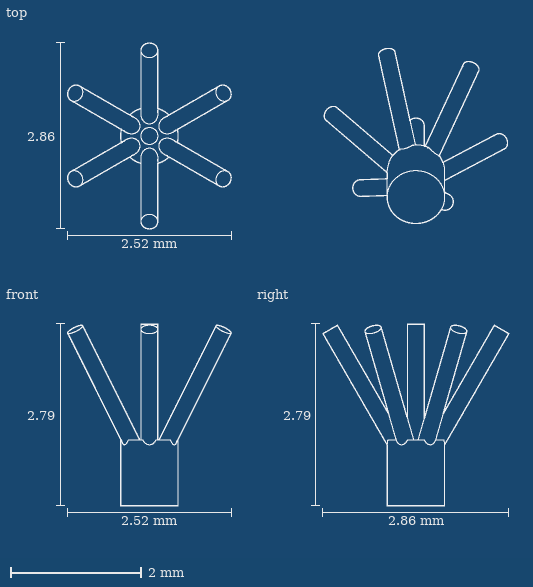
import cadquery as cq
import math

base_diameter = 0.887
base_height = 1.012
rod_diameter = 0.26
total_height = 2.79
overall_width = 2.86
tip_height = 2.71
tilt = 30.0
outer_rod_count = 6
first_rod_angle = 30.0

tip_radius = overall_width / 2 - rod_diameter / 2 * math.cos(math.radians(tilt))
rod_length = tip_radius / math.sin(math.radians(tilt))
meeting_height = tip_height - rod_length * math.cos(math.radians(tilt))


def tilted_rod(angle):
    """Rod running from the meeting point outward in the given direction around Z."""
    rod = cq.Workplane("XY").circle(rod_diameter / 2).extrude(rod_length)
    rod = rod.rotate((0, 0, 0), (0, 1, 0), tilt)
    rod = rod.rotate((0, 0, 0), (0, 0, 1), angle)
    return rod.translate((0, 0, meeting_height))


base = cq.Workplane("XY").circle(base_diameter / 2).extrude(base_height)
centre_rod = (
    cq.Workplane("XY")
    .workplane(offset=meeting_height)
    .circle(rod_diameter / 2)
    .extrude(total_height - meeting_height)
)
result = base.union(centre_rod)

for index in range(outer_rod_count):
    result = result.union(tilted_rod(first_rod_angle + index * 360 / outer_rod_count))